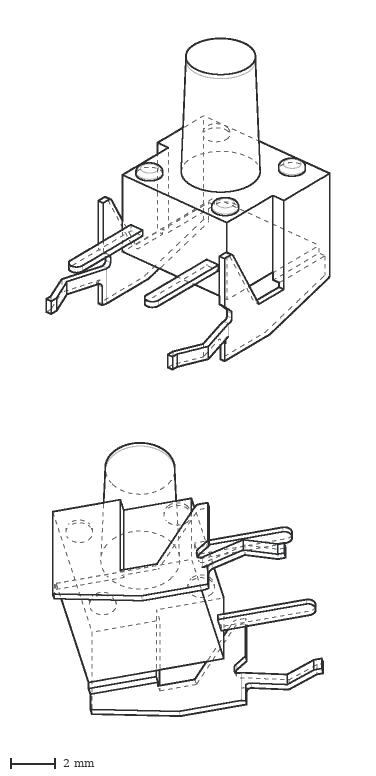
import cadquery as cq

BODY_WIDTH = 6.2
BODY_DEPTH = 6.2
BODY_HEIGHT = 4.0
BODY_BACK = BODY_DEPTH / 2
OVERALL_WIDTH = 7.5
SHOULDER_BOTTOM = -0.4

BUTTON_TOP = 10.0
BUTTON_BASE_DIAMETER = 3.52
BUTTON_TOP_DIAMETER = 3.11
BUTTON_RIM_HEIGHT = 0.2

RIVET_DIAMETER = 1.2
RIVET_HEIGHT = 0.3
RIVET_ROUND = 0.2
PITCH_X = 4.5
PITCH_Y = 4.5

PIN_WIDTH = 0.7
PIN_THICKNESS = 0.3
PIN_BOTTOM = 1.3
PIN_END = -7.5

PLATE_THICKNESS = 0.3
PLATE_OUTER = OVERALL_WIDTH / 2
PLATE_INNER = PLATE_OUTER - PLATE_THICKNESS
PLATE_FRONT = -4.0
PLATE_BOTTOM = -2.55
PLATE_BACK_BOTTOM = -1.4
PLATE_SLOPE_END = -0.95
PLATE_ROUND = 0.2
WINDOW_BOTTOM = -0.63
EAR_FOOT = -1.68
EAR_TIP = -3.48
EAR_TOP = 2.8
NOTCH_DEPTH = 0.5
NOTCH_FLOOR = PLATE_FRONT + NOTCH_DEPTH
NOTCH_TOP = 0.3

LEG_TOP = -0.72
LEG_BOTTOM = -1.39
LEG_END = PIN_END
LEG_SPAN = 8.71
LEG_KINK_OUTER = LEG_SPAN / 2
LEG_KINK_INNER = LEG_KINK_OUTER - 0.32
LEG_KINK_Y = -5.77
LEG_OUTER_START = -3.76
LEG_INNER_START = -3.8
LEG_OUTER_RETURN = -7.2
LEG_INNER_RETURN = -7.14

LEG_INNER_SLOPE = (LEG_KINK_INNER - PLATE_INNER) / (LEG_INNER_START - LEG_KINK_Y)
BEVEL_WIDTH = LEG_INNER_SLOPE * (LEG_INNER_START - PLATE_FRONT)


def block(x_min, x_max, y_min, y_max, z_min, z_max):
    """Axis-aligned box between two opposite corners."""
    size = (x_max - x_min, y_max - y_min, z_max - z_min)
    return cq.Workplane("XY").box(*size, centered=False).translate((x_min, y_min, z_min))


def make_body():
    half_body = BODY_WIDTH / 2
    body = block(-half_body, half_body, -BODY_BACK, BODY_BACK, 0, BODY_HEIGHT)
    shoulder = block(half_body, PLATE_OUTER, 0, BODY_BACK, SHOULDER_BOTTOM, BODY_HEIGHT)
    return body.union(shoulder).union(shoulder.mirror("YZ"))


def make_button():
    """Tapered shaft with a short straight rim at the top, revolved about Z."""
    base_radius = BUTTON_BASE_DIAMETER / 2
    top_radius = BUTTON_TOP_DIAMETER / 2
    profile = [
        (0, BODY_HEIGHT),
        (base_radius, BODY_HEIGHT),
        (top_radius, BUTTON_TOP - BUTTON_RIM_HEIGHT),
        (top_radius, BUTTON_TOP),
        (0, BUTTON_TOP),
    ]
    return cq.Workplane("XZ").polyline(profile).close().revolve(360, (0, 0), (0, 1))


def make_rivets():
    return (
        cq.Workplane("XY", origin=(0, 0, BODY_HEIGHT))
        .rarray(PITCH_X, PITCH_Y, 2, 2)
        .circle(RIVET_DIAMETER / 2)
        .extrude(RIVET_HEIGHT)
        .faces(">Z")
        .edges()
        .fillet(RIVET_ROUND)
    )


def make_pin(x):
    """Flat pin with a half-round tip, pointing toward -Y from the housing front."""
    half_width = PIN_WIDTH / 2
    tip_start = PIN_END + half_width
    return (
        cq.Workplane("XY", origin=(x, 0, PIN_BOTTOM))
        .moveTo(half_width, -BODY_BACK)
        .lineTo(half_width, tip_start)
        .threePointArc((0, PIN_END), (-half_width, tip_start))
        .lineTo(-half_width, -BODY_BACK)
        .close()
        .extrude(PIN_THICKNESS)
    )


def make_silhouette():
    """Side outline of the bracket with the leg drawn straight, extruded as wide as the leg bows."""
    leg_root = (NOTCH_FLOOR, LEG_TOP)
    notch_corner = (NOTCH_FLOOR, NOTCH_TOP - NOTCH_DEPTH)
    ear_corner = (EAR_TIP, EAR_TOP)
    leg_underside = (PLATE_FRONT, LEG_BOTTOM)
    outline = [
        (BODY_BACK, BODY_HEIGHT),
        (BODY_BACK, PLATE_BACK_BOTTOM),
        (PLATE_SLOPE_END, PLATE_BOTTOM),
        (PLATE_FRONT, PLATE_BOTTOM),
        leg_underside,
        (LEG_END, LEG_BOTTOM),
        (LEG_END, LEG_TOP),
        leg_root,
        notch_corner,
        (PLATE_FRONT, NOTCH_TOP),
        (PLATE_FRONT, EAR_TOP),
        ear_corner,
        (EAR_FOOT, WINDOW_BOTTOM),
        (0, WINDOW_BOTTOM),
        (0, BODY_HEIGHT),
    ]
    width = LEG_KINK_OUTER - PLATE_INNER
    silhouette = cq.Workplane("YZ", origin=(PLATE_INNER, 0, 0)).polyline(outline).close().extrude(width)
    middle_x = PLATE_INNER + width / 2
    for y, z in (leg_root, notch_corner, ear_corner, leg_underside):
        corner_edge = cq.selectors.NearestToPointSelector((middle_x, y, z))
        silhouette = silhouette.edges("|X").edges(corner_edge).fillet(PLATE_ROUND)
    return silhouette


def make_plate_layer():
    """Flat layer at +X; below the leg's top its inner front edge is bevelled by the bend."""
    layer = block(PLATE_INNER, PLATE_OUTER, PLATE_FRONT, BODY_BACK, PLATE_BOTTOM, BODY_HEIGHT)
    bevel = [
        (PLATE_INNER, LEG_INNER_START),
        (PLATE_INNER + BEVEL_WIDTH, PLATE_FRONT),
        (PLATE_INNER, PLATE_FRONT),
    ]
    bevel_cut = (
        cq.Workplane("XY", origin=(0, 0, PLATE_BOTTOM))
        .polyline(bevel)
        .close()
        .extrude(LEG_TOP - PLATE_BOTTOM)
    )
    return layer.cut(bevel_cut)


def make_leg_layer():
    """Bent layer at +X that bows outward to a kink and returns to the plate's plane."""
    outline = [
        (PLATE_OUTER, LEG_OUTER_START),
        (LEG_KINK_OUTER, LEG_KINK_Y),
        (PLATE_OUTER, LEG_OUTER_RETURN),
        (PLATE_OUTER, LEG_END),
        (PLATE_INNER, LEG_END),
        (PLATE_INNER, LEG_INNER_RETURN),
        (LEG_KINK_INNER, LEG_KINK_Y),
        (PLATE_INNER, LEG_INNER_START),
        (PLATE_INNER, LEG_OUTER_START),
    ]
    fillet_bottom = LEG_BOTTOM - PLATE_ROUND
    layer = (
        cq.Workplane("XY", origin=(0, 0, fillet_bottom))
        .polyline(outline)
        .close()
        .extrude(LEG_TOP - fillet_bottom)
    )
    flat_zone = block(
        PLATE_INNER, LEG_KINK_OUTER, PLATE_FRONT, LEG_OUTER_START, fillet_bottom, LEG_BOTTOM
    )
    return layer.cut(flat_zone)


bracket_side = make_plate_layer().union(make_leg_layer()).intersect(make_silhouette())
result = make_body().union(make_button()).union(make_rivets())
for side in (-1, 1):
    result = result.union(make_pin(side * PITCH_X / 2))
result = result.union(bracket_side).union(bracket_side.mirror("YZ"))